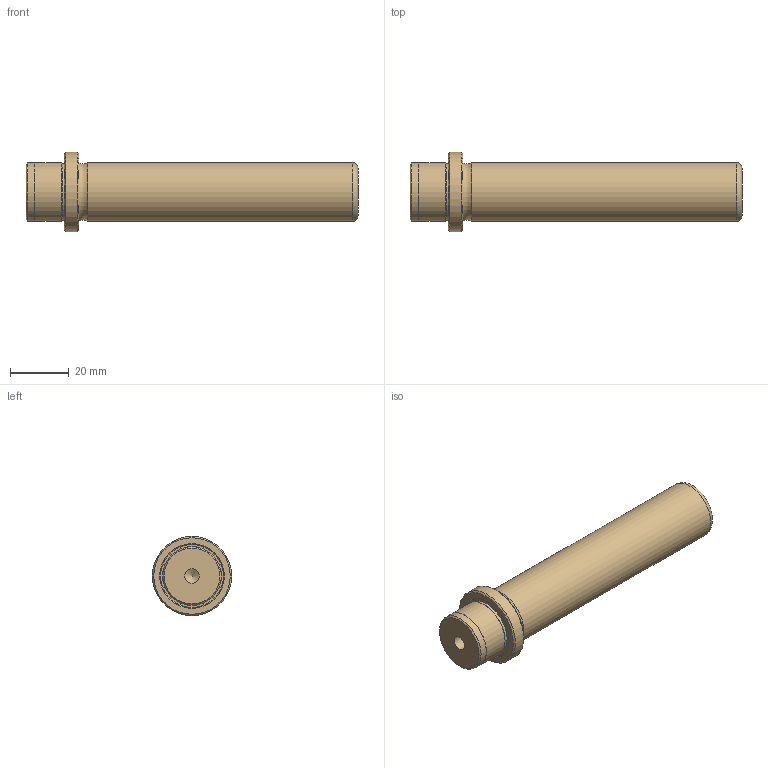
import cadquery as cq
import math

total_length = 113.0
lead_length = 3.0
flange_start = 13.0
flange_width = 5.0
front_undercut_width = 1.0
rear_groove_width = 3.0

shaft_radius = 10.0
lead_radius = 9.98
flange_radius = 13.5

front_chamfer = 0.5
flange_chamfer = 0.5
rear_end_radius = 2.0

undercut_depth = 0.3
face_undercut_height = 1.0

rear_groove_depth = 0.5

hole_radius = 2.5
hole_depth = 12.0
drill_point_angle = 118.0

front_x = -total_length / 2
rear_x = front_x + total_length
flange_front = front_x + flange_start
flange_rear = flange_front + flange_width


def revolve_about_axis(profile):
    """Turn a closed half profile about the X axis."""
    return profile.revolve(360, (0, 0, 0), (1, 0, 0))


def make_turned_body():
    """Stepped pin: lead-in, front spigot, undercut, flange, groove and long shaft."""
    lead_end = front_x + lead_length
    undercut_start = flange_front - front_undercut_width
    undercut_radius = shaft_radius - undercut_depth
    undercut_face = flange_front + undercut_depth
    face_undercut_radius = shaft_radius + face_undercut_height
    groove_middle = flange_rear + rear_groove_width / 2
    groove_end = flange_rear + rear_groove_width
    rear_arc_drop = rear_end_radius * (1 - math.sqrt(0.5))
    profile = (
        cq.Workplane("XY")
        .moveTo(front_x, 0)
        .lineTo(front_x, lead_radius - front_chamfer)
        .lineTo(front_x + front_chamfer, lead_radius)
        .lineTo(lead_end, lead_radius)
        .lineTo(lead_end, shaft_radius)
        .lineTo(undercut_start, shaft_radius)
        .lineTo(undercut_start + undercut_depth, undercut_radius)
        .lineTo(undercut_face, undercut_radius)
        .lineTo(undercut_face, face_undercut_radius - undercut_depth)
        .lineTo(flange_front, face_undercut_radius)
        .lineTo(flange_front, flange_radius - flange_chamfer)
        .lineTo(flange_front + flange_chamfer, flange_radius)
        .lineTo(flange_rear - flange_chamfer, flange_radius)
        .lineTo(flange_rear, flange_radius - flange_chamfer)
        .lineTo(flange_rear, shaft_radius)
        .threePointArc(
            (groove_middle, shaft_radius - rear_groove_depth),
            (groove_end, shaft_radius),
        )
        .lineTo(rear_x - rear_end_radius, shaft_radius)
        .threePointArc(
            (rear_x - rear_arc_drop, shaft_radius - rear_arc_drop),
            (rear_x, shaft_radius - rear_end_radius),
        )
        .lineTo(rear_x, 0)
        .close()
    )
    return revolve_about_axis(profile)


def make_centre_hole():
    """Drilled hole with a conical bottom, as a solid to subtract."""
    hole_end = front_x + hole_depth
    point_length = hole_radius / math.tan(math.radians(drill_point_angle / 2))
    profile = (
        cq.Workplane("XY")
        .moveTo(front_x, 0)
        .lineTo(front_x, hole_radius)
        .lineTo(hole_end, hole_radius)
        .lineTo(hole_end + point_length, 0)
        .close()
    )
    return revolve_about_axis(profile)


result = make_turned_body().cut(make_centre_hole())